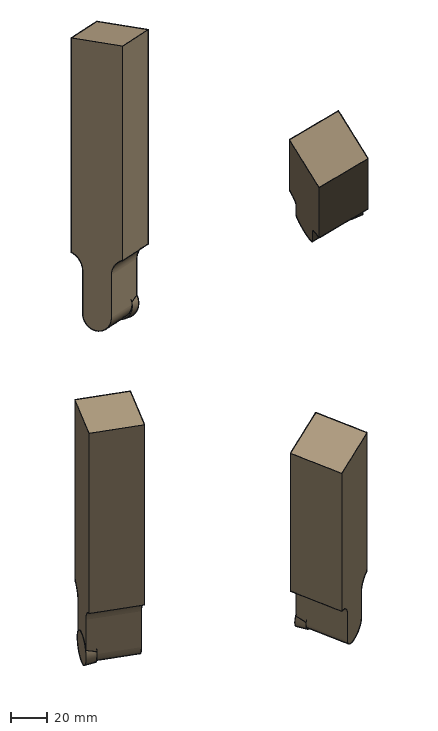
import cadquery as cq
import math

total_height = 171.3
shank_width = 31.9
shank_depth = 31.9

insert_diameter = 20.0
insert_radius = insert_diameter / 2
insert_thickness = 6.5
relief_angle = 7.0
insert_projection = 0.2
insert_back_radius = insert_radius - insert_thickness * math.tan(math.radians(relief_angle))
insert_center_z = insert_radius

neck_half_width = 8.9
tip_center_z = 10.8
shoulder_start_z = 35.8
shoulder_rise = 9.8
shank_half_width = shank_width / 2
shoulder_end_z = shoulder_start_z + shoulder_rise
shoulder_run = shank_half_width - neck_half_width
shoulder_radius = (shoulder_run**2 + shoulder_rise**2) / (2 * shoulder_run)
half_sweep = math.asin(shoulder_rise / shoulder_radius) / 2
shoulder_mid_x = neck_half_width + shoulder_radius * (1 - math.cos(half_sweep))
shoulder_mid_z = shoulder_start_z + shoulder_radius * math.sin(half_sweep)


def make_insert():
    """Solid conical insert, its axis along Y, standing slightly proud of the holder."""
    face_y = shank_depth / 2 + insert_projection
    cone = cq.Solid.makeCone(
        insert_radius,
        insert_back_radius,
        insert_thickness,
        pnt=cq.Vector(0, face_y, insert_center_z),
        dir=cq.Vector(0, -1, 0),
    )
    return cq.Workplane(cone)


def make_holder(insert):
    """Square shank with a narrow neck, recessed to fit the insert."""
    blank = (
        cq.Workplane("XZ")
        .moveTo(-shank_half_width, total_height)
        .lineTo(-shank_half_width, shoulder_end_z)
        .threePointArc((-shoulder_mid_x, shoulder_mid_z), (-neck_half_width, shoulder_start_z))
        .lineTo(-neck_half_width, tip_center_z)
        .threePointArc((0, tip_center_z - neck_half_width), (neck_half_width, tip_center_z))
        .lineTo(neck_half_width, shoulder_start_z)
        .threePointArc((shoulder_mid_x, shoulder_mid_z), (shank_half_width, shoulder_end_z))
        .lineTo(shank_half_width, total_height)
        .close()
        .extrude(shank_depth / 2, both=True)
    )
    return blank.cut(insert).solids()


insert = make_insert()
holder = make_holder(insert)

result = cq.Compound.makeCompound([holder.val(), insert.val()])